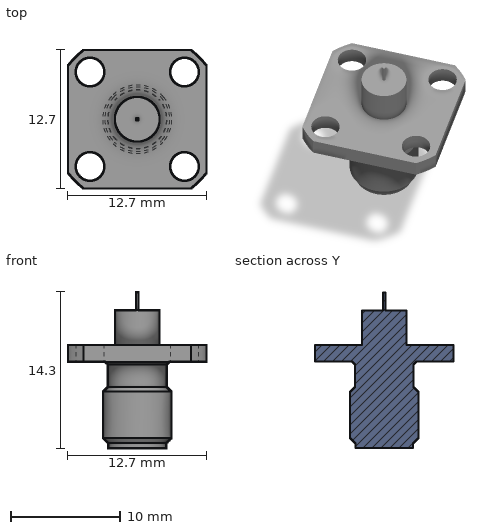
import cadquery as cq


FLANGE_SIDE = 12.7
FLANGE_THICKNESS = 1.55
FLANGE_CORNER_DIAMETER = 16.05
HOLE_DIAMETER = 2.6
HOLE_SPACING = 8.64

INSULATOR_DIAMETER = 4.1
INSULATOR_HEIGHT = 3.17
PIN_DIAMETER = 0.25
PIN_LENGTH = 1.65

COLLAR_HEIGHT = 0.25
NECK_DIAMETER = 5.42
NECK_END_DEPTH = 2.3
BARREL_DIAMETER = 6.3
TIP_DIAMETER = 5.35
TIP_HEIGHT = 0.48
BARREL_DEPTH = 7.92


def make_flange():
    """Square plate with rounded-off corners and four through holes."""
    plate = cq.Workplane("XY").rect(FLANGE_SIDE, FLANGE_SIDE).extrude(-FLANGE_THICKNESS)
    corner_disc = cq.Workplane("XY").circle(FLANGE_CORNER_DIAMETER / 2).extrude(-FLANGE_THICKNESS)
    holes = (
        cq.Workplane("XY")
        .rect(HOLE_SPACING, HOLE_SPACING, forConstruction=True)
        .vertices()
        .circle(HOLE_DIAMETER / 2)
        .extrude(-FLANGE_THICKNESS)
    )
    return plate.intersect(corner_disc).cut(holes)


def make_top_side():
    """Cylindrical insulator carrying the thin center pin."""
    insulator = cq.Workplane("XY").circle(INSULATOR_DIAMETER / 2).extrude(INSULATOR_HEIGHT)
    pin = (
        cq.Workplane("XY")
        .workplane(offset=INSULATOR_HEIGHT)
        .circle(PIN_DIAMETER / 2)
        .extrude(PIN_LENGTH)
    )
    return insulator.union(pin)


def make_barrel():
    """Revolved barrel: flared collar, neck, chamfered body and reduced tip."""
    neck_radius = NECK_DIAMETER / 2
    barrel_radius = BARREL_DIAMETER / 2
    tip_radius = TIP_DIAMETER / 2

    z_flange = -FLANGE_THICKNESS
    z_collar = z_flange - COLLAR_HEIGHT
    z_neck_end = z_flange - NECK_END_DEPTH
    z_body_top = z_neck_end - (barrel_radius - neck_radius)
    z_bottom = z_flange - BARREL_DEPTH
    z_tip_top = z_bottom + TIP_HEIGHT
    z_body_bottom = z_tip_top + (barrel_radius - tip_radius)

    profile = [
        (0, z_flange),
        (neck_radius + COLLAR_HEIGHT, z_flange),
        (neck_radius, z_collar),
        (neck_radius, z_neck_end),
        (barrel_radius, z_body_top),
        (barrel_radius, z_body_bottom),
        (tip_radius, z_tip_top),
        (tip_radius, z_bottom),
        (0, z_bottom),
    ]
    return cq.Workplane("XZ").polyline(profile).close().revolve(360, (0, 0, 0), (0, 1, 0))


result = make_flange().union(make_top_side()).union(make_barrel())